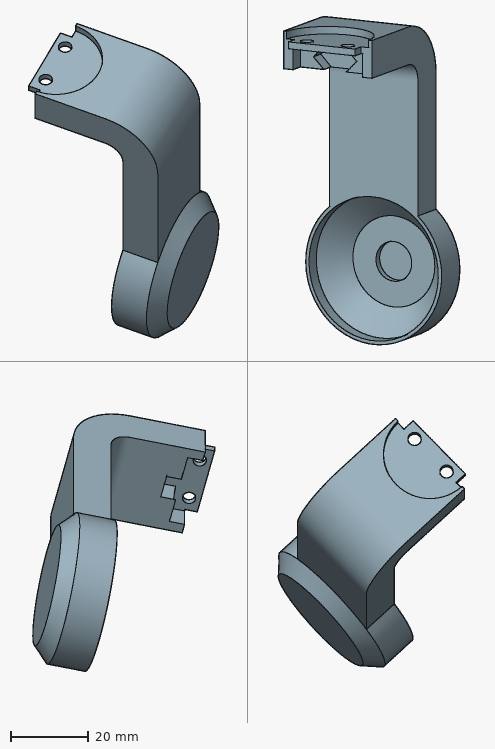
import cadquery as cq
import math

total_height = 86.0
arm_reach = 35.0
arm_thickness = 10.0
arm_width = 26.0
inner_bend_radius = 5.0
outer_bend_radius = inner_bend_radius + arm_thickness
leg_x = arm_reach - arm_thickness
arm_bottom_z = total_height - arm_thickness

cup_radius = 40.0 / 2
cup_bevel = 4.0
cup_bore_radius = 38.0 / 2
cup_bore_depth = 3.95
cup_floor_radius = 12.0
cup_depth = 11.0
center_hole_radius = 10.5 / 2
center_hole_depth = 2.0

seat_radius = 12.0
seat_depth = 2.0
tab_length = 3.3
tab_width = 19.6
tab_thickness = 1.8
screw_diameter = 3.4
screw_spacing = 12.0
screw_x = -0.2
notch_width = 20.5
notch_depth = 4.0
notch_top_z = total_height - seat_depth - tab_thickness
hex_half_width = 6.4
hex_recess_depth = 3.95


def box(x_start, x_end, width, z_start, z_end):
    """Block centred on Y = 0 between the given X and Z limits."""
    return cq.Workplane("XY").box(
        x_end - x_start, width, z_end - z_start, centered=(False, True, False)
    ).translate((x_start, 0, z_start))


def revolve_about_cup_axis(profile):
    """Turn an (X, radius) outline about the cup axis."""
    return (
        cq.Workplane("XZ")
        .polyline(profile)
        .close()
        .revolve(360, (0, 0), (1, 0))
        .translate((0, 0, cup_radius))
    )


def make_arm():
    """Bent flat bar: horizontal at the top, running down to the cup axis."""
    outer_offset = outer_bend_radius * math.sqrt(0.5)
    inner_offset = inner_bend_radius * math.sqrt(0.5)
    bend_x = leg_x - inner_bend_radius
    bend_z = arm_bottom_z - inner_bend_radius
    return (
        cq.Workplane("XZ")
        .moveTo(0, arm_bottom_z)
        .lineTo(0, total_height)
        .lineTo(bend_x, total_height)
        .threePointArc((bend_x + outer_offset, bend_z + outer_offset), (arm_reach, bend_z))
        .lineTo(arm_reach, cup_radius)
        .lineTo(leg_x, cup_radius)
        .lineTo(leg_x, bend_z)
        .threePointArc((bend_x + inner_offset, bend_z + inner_offset), (bend_x, arm_bottom_z))
        .close()
        .extrude(arm_width / 2, both=True)
    )


def make_cup_body():
    """Disc flush with the arm, with a bevelled back."""
    back_x = arm_reach + cup_bevel
    return revolve_about_cup_axis([
        (leg_x, 0),
        (leg_x, cup_radius),
        (arm_reach, cup_radius),
        (back_x, cup_radius - cup_bevel),
        (back_x, 0),
    ])


def make_cup_cavity():
    """Straight bore, tapered wall, flat floor and a blind centre hole."""
    floor_x = leg_x + cup_depth
    hole_end_x = floor_x + center_hole_depth
    return revolve_about_cup_axis([
        (leg_x, 0),
        (leg_x, cup_bore_radius),
        (leg_x + cup_bore_depth, cup_bore_radius),
        (floor_x, cup_floor_radius),
        (floor_x, center_hole_radius),
        (hole_end_x, center_hole_radius),
        (hole_end_x, 0),
    ])


def make_seat():
    """Shallow round seat in the top of the arm, centred on its end face."""
    return cq.Workplane("XY", origin=(0, 0, total_height)).circle(seat_radius).extrude(-seat_depth)


def make_hex_recess():
    """Hexagonal recess in the back wall of the notch, with 45 degree sides."""
    half_height = (notch_top_z - arm_bottom_z) / 2
    flat_half_width = hex_half_width - half_height
    return (
        cq.Workplane("YZ", origin=(notch_depth, 0, arm_bottom_z + half_height))
        .polyline([
            (-hex_half_width, 0),
            (-flat_half_width, half_height),
            (flat_half_width, half_height),
            (hex_half_width, 0),
            (flat_half_width, -half_height),
            (-flat_half_width, -half_height),
        ])
        .close()
        .extrude(hex_recess_depth)
    )


def make_screw_holes():
    """Two vertical holes close to the plane of the arm's end face."""
    return (
        cq.Workplane("XY", origin=(0, 0, arm_bottom_z))
        .pushPoints([(screw_x, -screw_spacing / 2), (screw_x, screw_spacing / 2)])
        .circle(screw_diameter / 2)
        .extrude(arm_thickness)
    )


tab = box(-tab_length, notch_depth, tab_width, notch_top_z, notch_top_z + tab_thickness)
notch = box(0, notch_depth, notch_width, arm_bottom_z, notch_top_z)

result = (
    make_arm()
    .union(make_cup_body())
    .cut(make_cup_cavity())
    .cut(make_seat())
    .cut(notch)
    .cut(make_hex_recess())
    .union(tab)
    .cut(make_screw_holes())
)